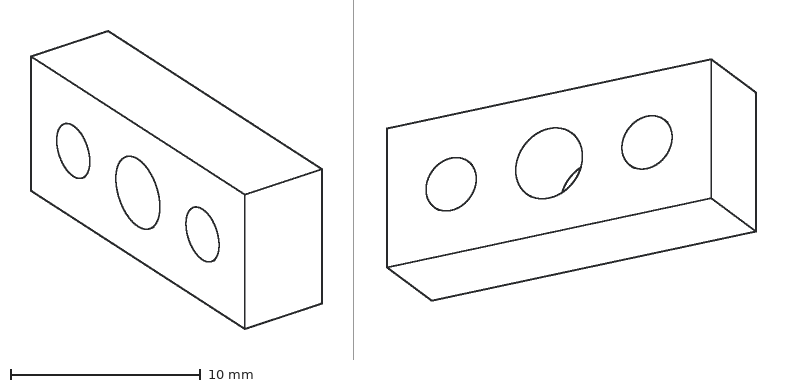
import cadquery as cq

length = 19.4
depth = 5.0
height = 8.0

center_hole_diameter = height / 2
side_hole_diameter = 3.0
side_hole_offset = 5.85

block = cq.Workplane("XY").box(length, depth, height)

result = (
    block.faces("<Y")
    .workplane(centerOption="CenterOfBoundBox")
    .hole(center_hole_diameter)
    .faces("<Y")
    .workplane(centerOption="CenterOfBoundBox")
    .pushPoints([(-side_hole_offset, 0), (side_hole_offset, 0)])
    .hole(side_hole_diameter)
)